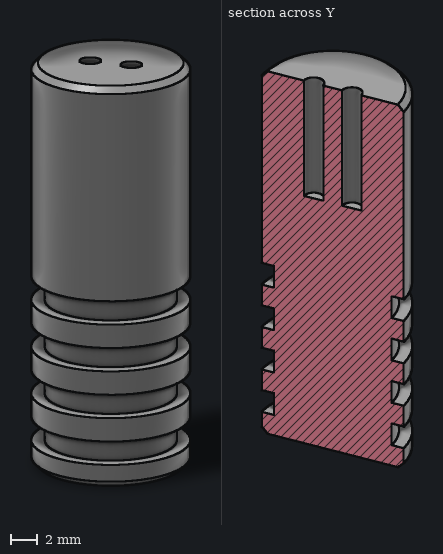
import cadquery as cq

body_diameter = 11.9
body_height = 31.5
edge_chamfer = 0.5

groove_count = 4
groove_floor_diameter = 9.9
groove_width = 1.84
groove_pitch = 2 * groove_width
first_groove_bottom = 1.82

hole_diameter = 1.6
hole_spacing = 3.2
hole_depth = 10.0


def make_body():
    cylinder = cq.Workplane("XY").circle(body_diameter / 2).extrude(body_height)
    return cylinder.faces("<Z or >Z").chamfer(edge_chamfer)


def make_groove_ring(bottom):
    return (
        cq.Workplane("XY", origin=(0, 0, bottom))
        .circle(body_diameter / 2)
        .circle(groove_floor_diameter / 2)
        .extrude(groove_width)
    )


def cut_grooves(part):
    for index in range(groove_count):
        part = part.cut(make_groove_ring(first_groove_bottom + index * groove_pitch))
    return part


def cut_top_holes(part):
    holes = (
        cq.Workplane("XY", origin=(0, 0, body_height))
        .pushPoints([(-hole_spacing / 2, 0), (hole_spacing / 2, 0)])
        .circle(hole_diameter / 2)
        .extrude(-hole_depth)
    )
    return part.cut(holes)


result = cut_top_holes(cut_grooves(make_body()))